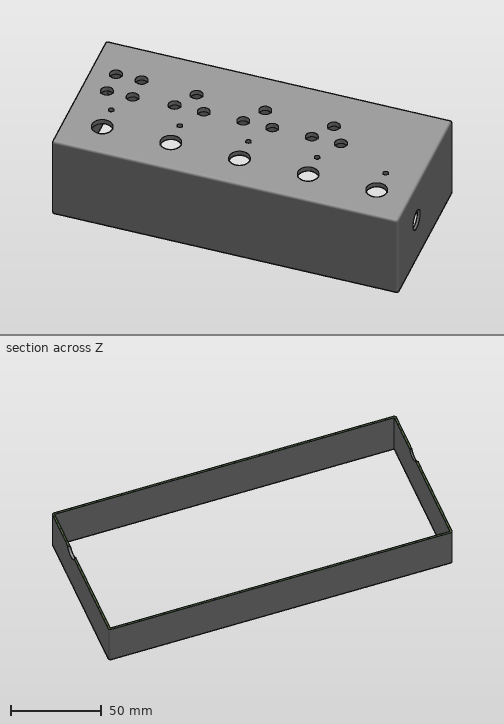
import cadquery as cq

length = 202.0
width = 90.0
height = 53.0
edge_radius = 1.5
lid_thickness = 3.0
wall = 1.5

column_pitch = 40.0
column_count = 5
middle_column_x = 1.0
knob_y = -24.0
knob_diameter = 12.0
lamp_y = -9.0
lamp_diameter = 3.0

socket_diameter = 7.0
trio_front_y = 6.3
trio_rear_y = 18.5
trio_half_spacing = 8.5
quad_y = 12.5
quad_spacing = 15.0

side_hole_y = -14.7
side_hole_z = 2.8
side_bore_diameter = 10.0
side_mouth_diameter = 12.0

column_xs = [
    middle_column_x + column_pitch * (i - (column_count - 1) / 2)
    for i in range(column_count)
]


def make_shell():
    """Rounded box hollowed from below, leaving the lid and four walls."""
    outer = cq.Workplane("XY").box(length, width, height).edges().fillet(edge_radius)
    cavity = cq.Workplane("XY").box(length - 2 * wall, width - 2 * wall, height)
    return outer.cut(cavity.translate((0, 0, -lid_thickness)))


def lid_holes(points, diameter):
    """Cutters that pass through the lid at the given XY points."""
    return (
        cq.Workplane("XY")
        .workplane(offset=height / 2 - lid_thickness)
        .pushPoints(points)
        .circle(diameter / 2)
        .extrude(lid_thickness)
    )


def trio_points(x):
    """Triangle of three sockets centred on a column."""
    return [
        (x, trio_rear_y),
        (x - trio_half_spacing, trio_front_y),
        (x + trio_half_spacing, trio_front_y),
    ]


def quad_points(x):
    """Square of four sockets centred on a column."""
    half = quad_spacing / 2
    return [(x + sx * half, quad_y + sy * half) for sx in (-1, 1) for sy in (-1, 1)]


socket_points = quad_points(column_xs[0])
for x in column_xs[1:-1]:
    socket_points += trio_points(x)


def side_hole_cutter():
    """Round bore along X through both end walls, flared by an arc towards each outer face."""
    mouth_x = length / 2
    inner_face_x = mouth_x - wall
    bore_radius = side_bore_diameter / 2
    mouth_radius = side_mouth_diameter / 2
    profile = (
        cq.Workplane("XY")
        .lineTo(0, bore_radius)
        .lineTo(inner_face_x, bore_radius)
        .tangentArcPoint((mouth_x, mouth_radius), relative=False)
        .lineTo(mouth_x, 0)
        .close()
    )
    half = profile.revolve(360, (0, 0, 0), (1, 0, 0))
    cutter = half.union(half.mirror("YZ"))
    return cutter.translate((0, side_hole_y, side_hole_z))


result = (
    make_shell()
    .cut(lid_holes([(x, knob_y) for x in column_xs], knob_diameter))
    .cut(lid_holes([(x, lamp_y) for x in column_xs], lamp_diameter))
    .cut(lid_holes(socket_points, socket_diameter))
    .cut(side_hole_cutter())
)